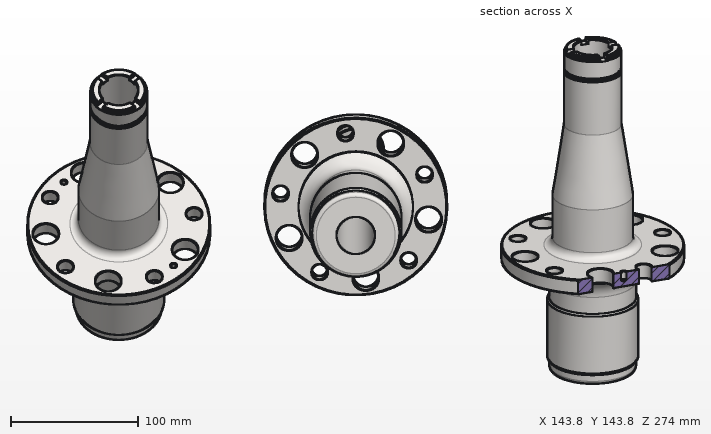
import cadquery as cq
import math

LENGTH = 274
FLANGE_BOTTOM = 93.0
FLANGE_THICKNESS = 12.5
FLANGE_TOP = FLANGE_BOTTOM + FLANGE_THICKNESS
COLLAR_BOTTOM = 90.7
SEAT_BOTTOM = 10.7
SEAT_TOP = 59.2
TAPER_BOTTOM = 148.5
TAPER_TOP = 208.5
GROOVE_BOTTOM = 254.0
GROOVE_TOP = 254.8
SLOT_DEPTH = 3.5
SLOT_FLOOR = LENGTH - SLOT_DEPTH
NOSE_TOP = 270.7

FLANGE_RADIUS = 143.8 / 2
COLLAR_RADIUS = 45.0
SEAT_RADIUS = 36.0
NECK_RADIUS = 34.2
HUB_RADIUS = 31.8
SPINDLE_RADIUS = 22.7
NOSE_RADIUS = 22.5
CROWN_RADIUS = 21.5
GROOVE_RADIUS = 20.8
BORE_RADIUS = 15.0

FLANGE_CHAMFER = 0.8
SMALL_CHAMFER = 0.5
CROWN_CHAMFER = 1.0
SEAT_LEAD_IN = 2.2
FOOT_FILLET = 3.3
HUB_FILLET = 6.5
COLLAR_FILLET = 17.0

LARGE_HOLE_DIAMETER = 20.0
LARGE_HOLE_CIRCLE = 58.0
SMALL_HOLE_DIAMETER = 12.0
SMALL_HOLE_CIRCLE = 60.0
HOLES_PER_CIRCLE = 5
HOLE_CHAMFER = 0.5
PIN_HOLE_DIAMETER = 4.0
PIN_HOLE_CHAMFER = 0.5
PIN_HOLE_DEPTH = 6.8
PIN_HOLE_CIRCLE = 60.0
DRILL_POINT_ANGLE = 118

SLOT_WIDTH = 6.0


def fillet_height(radial_rise):
    """Height over which the collar fillet climbs while it widens by radial_rise."""
    return math.sqrt(COLLAR_FILLET**2 - (COLLAR_FILLET - radial_rise) ** 2)


def turned_body():
    """Revolve the half outline, drawn as (radius, height), about the Z axis."""
    arc_inset = 1 - math.sqrt(0.5)

    collar_rise = COLLAR_RADIUS - NECK_RADIUS
    neck_top = COLLAR_BOTTOM - fillet_height(collar_rise)
    collar_mid = (NECK_RADIUS + collar_rise / 2, neck_top + fillet_height(collar_rise / 2))

    foot_mid = (NECK_RADIUS - arc_inset * FOOT_FILLET, arc_inset * FOOT_FILLET)
    hub_mid = (HUB_RADIUS + arc_inset * HUB_FILLET, FLANGE_TOP + arc_inset * HUB_FILLET)
    seat_step = SEAT_RADIUS - NECK_RADIUS

    outline = (
        cq.Workplane("XZ")
        .moveTo(BORE_RADIUS, 0)
        .lineTo(NECK_RADIUS - FOOT_FILLET, 0)
        .threePointArc(foot_mid, (NECK_RADIUS, FOOT_FILLET))
        .lineTo(NECK_RADIUS, SEAT_BOTTOM - SEAT_LEAD_IN)
        .lineTo(SEAT_RADIUS, SEAT_BOTTOM)
        .lineTo(SEAT_RADIUS, SEAT_TOP)
        .lineTo(NECK_RADIUS, SEAT_TOP + seat_step)
        .lineTo(NECK_RADIUS, neck_top)
        .threePointArc(collar_mid, (COLLAR_RADIUS, COLLAR_BOTTOM))
        .lineTo(COLLAR_RADIUS, FLANGE_BOTTOM)
        .lineTo(FLANGE_RADIUS - FLANGE_CHAMFER, FLANGE_BOTTOM)
        .lineTo(FLANGE_RADIUS, FLANGE_BOTTOM + FLANGE_CHAMFER)
        .lineTo(FLANGE_RADIUS, FLANGE_TOP - FLANGE_CHAMFER)
        .lineTo(FLANGE_RADIUS - FLANGE_CHAMFER, FLANGE_TOP)
        .lineTo(HUB_RADIUS + HUB_FILLET, FLANGE_TOP)
        .threePointArc(hub_mid, (HUB_RADIUS, FLANGE_TOP + HUB_FILLET))
        .lineTo(HUB_RADIUS, TAPER_BOTTOM)
        .lineTo(SPINDLE_RADIUS, TAPER_TOP)
        .lineTo(SPINDLE_RADIUS, GROOVE_BOTTOM - SMALL_CHAMFER)
        .lineTo(SPINDLE_RADIUS - SMALL_CHAMFER, GROOVE_BOTTOM)
        .lineTo(GROOVE_RADIUS, GROOVE_BOTTOM)
        .lineTo(GROOVE_RADIUS, GROOVE_TOP)
        .lineTo(NOSE_RADIUS, GROOVE_TOP + NOSE_RADIUS - GROOVE_RADIUS)
        .lineTo(NOSE_RADIUS, NOSE_TOP)
        .lineTo(CROWN_RADIUS, NOSE_TOP + NOSE_RADIUS - CROWN_RADIUS)
        .lineTo(CROWN_RADIUS, LENGTH - CROWN_CHAMFER)
        .lineTo(CROWN_RADIUS - CROWN_CHAMFER, LENGTH)
        .lineTo(BORE_RADIUS + SMALL_CHAMFER, LENGTH)
        .lineTo(BORE_RADIUS, LENGTH - SMALL_CHAMFER)
        .close()
    )
    return outline.revolve(360, (0, 0, 0), (0, 1, 0))


def flange_holes(diameter, circle_radius, start_angle):
    """Ring of through holes in the flange, chamfered at both faces."""
    radius = diameter / 2
    rim_radius = radius + HOLE_CHAMFER
    cutter = (
        cq.Workplane("XZ")
        .moveTo(0, FLANGE_BOTTOM)
        .lineTo(rim_radius, FLANGE_BOTTOM)
        .lineTo(radius, FLANGE_BOTTOM + HOLE_CHAMFER)
        .lineTo(radius, FLANGE_TOP - HOLE_CHAMFER)
        .lineTo(rim_radius, FLANGE_TOP)
        .lineTo(0, FLANGE_TOP)
        .close()
        .revolve(360, (0, 0, 0), (0, 1, 0))
    )
    return (
        cq.Workplane("XY")
        .polarArray(circle_radius, start_angle, 360, HOLES_PER_CIRCLE)
        .eachpoint(cutter.val(), combine=False)
        .combine()
    )


def pin_hole(x):
    """Blind countersunk hole with a drilled point, sunk into the flange top."""
    radius = PIN_HOLE_DIAMETER / 2
    rim_radius = radius + PIN_HOLE_CHAMFER
    point_depth = radius / math.tan(math.radians(DRILL_POINT_ANGLE / 2))
    return (
        cq.Workplane("XZ", origin=(x, 0, FLANGE_TOP))
        .lineTo(rim_radius, 0)
        .lineTo(radius, -PIN_HOLE_CHAMFER)
        .lineTo(radius, -PIN_HOLE_DEPTH)
        .lineTo(0, -PIN_HOLE_DEPTH - point_depth)
        .close()
        .revolve(360, (0, 0, 0), (0, 1, 0))
    )


def crown_slots():
    """Two crossing slots that split the top rim into four segments."""
    slot_length = 2 * SPINDLE_RADIUS
    crown = cq.Workplane("XY", origin=(0, 0, SLOT_FLOOR))
    along_x = crown.rect(slot_length, SLOT_WIDTH).extrude(SLOT_DEPTH)
    along_y = crown.rect(SLOT_WIDTH, slot_length).extrude(SLOT_DEPTH)
    return along_x.union(along_y)


result = turned_body()
result = result.cut(flange_holes(LARGE_HOLE_DIAMETER, LARGE_HOLE_CIRCLE, 90))
result = result.cut(flange_holes(SMALL_HOLE_DIAMETER, SMALL_HOLE_CIRCLE, -90))
for side in (-1, 1):
    result = result.cut(pin_hole(side * PIN_HOLE_CIRCLE))
result = result.cut(crown_slots())